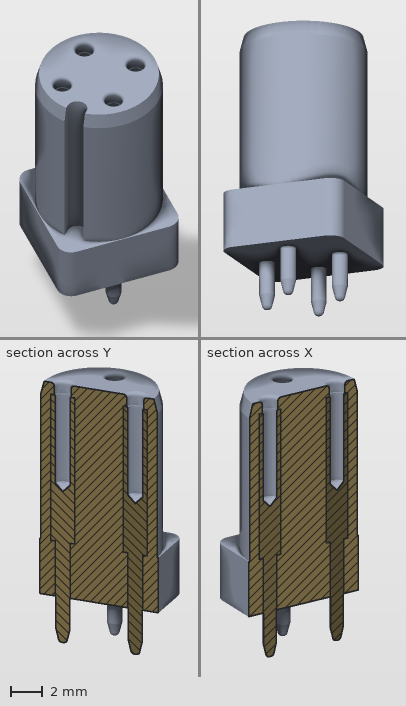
import cadquery as cq
import math

base_side = 8.2
base_height = 3.8
base_corner_radius = 0.95
body_diameter = 8.1
body_height = 10.8
body_nose_diameter = 7.6
body_nose_height = 0.95
housing_height = base_height + body_height

keyway_width = 1.3
keyway_center_radius = 3.5
keyway_angle = -45

contact_count = 4
contact_center_radius = 2.5

entry_diameter = 1.15
entry_mouth_diameter = 1.65
entry_lip_radius = (entry_mouth_diameter - entry_diameter) / 2
entry_depth = 0.85

barrel_diameter = 1.6
barrel_bottom = base_height
barrel_top = housing_height - entry_depth
bore_diameter = 1.0
bore_depth = 6.0
bore_point_angle = 90
bore_point_height = bore_diameter / 2 / math.tan(math.radians(bore_point_angle / 2))

tail_diameter = 1.0
tail_length = 3.1
tail_straight_length = 2.15
tail_tip_diameter = 0.52
tail_tip_radius = 0.28


def revolve_about_z(profile):
    """Turn a closed XZ half profile into a solid of revolution about Z."""
    return profile.close().revolve(360, (0, 0, 0), (0, 1, 0))


def make_entry_cutter():
    """Entry hole whose rounded lip widens to the mouth at the top face."""
    entry_radius = entry_diameter / 2
    lip_bottom = housing_height - entry_lip_radius
    arc_inset = entry_lip_radius * math.sqrt(0.5)
    lip_middle = (
        entry_mouth_diameter / 2 - arc_inset,
        lip_bottom + arc_inset,
    )
    profile = (
        cq.Workplane("XZ")
        .moveTo(0, barrel_top)
        .lineTo(entry_radius, barrel_top)
        .lineTo(entry_radius, lip_bottom)
        .threePointArc(lip_middle, (entry_mouth_diameter / 2, housing_height))
        .lineTo(0, housing_height)
    )
    return revolve_about_z(profile)


def make_contact_seat_cutter():
    """Stepped hole that holds the barrel and lets the tail out below."""
    tail_hole = cq.Workplane("XY").circle(tail_diameter / 2).extrude(barrel_bottom)
    barrel_hole = (
        cq.Workplane("XY", origin=(0, 0, barrel_bottom))
        .circle(barrel_diameter / 2)
        .extrude(barrel_top - barrel_bottom)
    )
    return tail_hole.union(barrel_hole)


def make_keyway_cutter():
    """Round-bottomed slot, open to the outside, from the base to the top face."""
    groove = (
        cq.Workplane("XY", origin=(keyway_center_radius, 0, base_height))
        .circle(keyway_width / 2)
        .extrude(body_height)
    )
    opening_length = body_diameter / 2
    opening = (
        cq.Workplane("XY", origin=(keyway_center_radius, 0, base_height))
        .box(opening_length, keyway_width, body_height, centered=(False, True, False))
    )
    return groove.union(opening).rotate((0, 0, 0), (0, 0, 1), keyway_angle)


def place_on_contact_circle(shape, index):
    """Move a shape from the Z axis to one of the contact positions."""
    angle = index * 360 / contact_count
    return shape.translate((contact_center_radius, 0, 0)).rotate((0, 0, 0), (0, 0, 1), angle)


def make_housing():
    base = (
        cq.Workplane("XY")
        .rect(base_side, base_side)
        .extrude(base_height)
        .edges("|Z")
        .fillet(base_corner_radius)
    )
    nose_inset = (body_diameter - body_nose_diameter) / 2
    body = (
        cq.Workplane("XY", origin=(0, 0, base_height))
        .circle(body_diameter / 2)
        .extrude(body_height)
        .faces(">Z")
        .chamfer(body_nose_height, nose_inset)
    )
    housing = base.union(body.cut(make_keyway_cutter()))
    contact_hole = make_entry_cutter().union(make_contact_seat_cutter())
    for index in range(contact_count):
        housing = housing.cut(place_on_contact_circle(contact_hole, index))
    return housing


def make_contact():
    """One socket contact on the Z axis: bored barrel and tapered solder tail."""
    bore_floor = barrel_top - bore_depth
    profile = (
        cq.Workplane("XZ")
        .moveTo(0, -tail_length)
        .lineTo(tail_tip_diameter / 2, -tail_length)
        .lineTo(tail_diameter / 2, -tail_straight_length)
        .lineTo(tail_diameter / 2, barrel_bottom)
        .lineTo(barrel_diameter / 2, barrel_bottom)
        .lineTo(barrel_diameter / 2, barrel_top)
        .lineTo(bore_diameter / 2, barrel_top)
        .lineTo(bore_diameter / 2, bore_floor)
        .lineTo(0, bore_floor - bore_point_height)
    )
    return revolve_about_z(profile).faces("<Z").edges().fillet(tail_tip_radius)


housing = make_housing()
contact = make_contact()
contacts = [place_on_contact_circle(contact, index) for index in range(contact_count)]

result = cq.Compound.makeCompound([housing.val(), *[placed.val() for placed in contacts]])